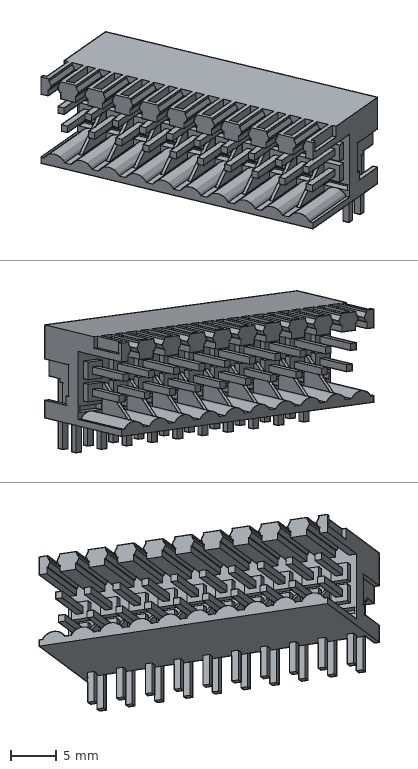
import cadquery as cq


positions = 10
pitch = 3.5
length = positions * pitch
depth = 14.2
height = 10.5
wall_front = 8.0
arm_bottom = 8.4
pin_xs = [(i - (positions - 1) / 2) * pitch for i in range(positions)]
boundary_xs = [(i - positions / 2) * pitch for i in range(positions + 1)]

overhang_bottom = 4.65
step_y = 12.15
step_z = 4.25
rear_wall = 11.65

foot_top = 2.0

recess_depth = 0.6
recess_front = 9.8
recess_top = 6.65
recess_step_y = 10.2
recess_step_z = 3.05

hump_top = 1.5
groove_z = 0.75
hump_width = 2.7

slot_depth = 5.1
waist_z = 9.7
waist_half = 0.4
mouth_half = 0.7
mouth_z = 10.25
base_half = 0.8
base_z = 9.15

pocket_width = 1.0
pocket_front = 0.5
pocket_floor = 9.2

wall_slot_width = 3.0
wall_slot_floor = hump_top
wall_slot_top = 2.2
wall_slot_depth = 1.0

rib_width = 0.4
rib_top = 4.55
rib_toe = 2.75
rib_crest = 0.4

pin_size = 0.8
pin_drop = 3.5
collar_size = 2.0
collar_length = 0.85
lower_contact = (3.75, 2.2, 10.6)
upper_contact = (6.25, 1.45, 13.1)


def box(x0, x1, y0, y1, z0, z1):
    """Axis-aligned block between two corners."""
    return cq.Workplane("XY").box(x1 - x0, y1 - y0, z1 - z0, centered=False).translate((x0, y0, z0))


def centred_box(x, width, y0, y1, z0, z1):
    """Block of the given width centred on x."""
    return box(x - width / 2, x + width / 2, y0, y1, z0, z1)


def side_profile(points, x0, x1):
    """Prism with a (Y, Z) outline, running from x0 to x1."""
    return cq.Workplane("YZ").polyline(points).close().extrude(x1 - x0).translate((x0, 0, 0))


def front_profile(points, x, y1):
    """Prism with an (X, Z) outline centred on x, running from Y = 0 to y1."""
    return cq.Workplane("XZ").polyline(points).close().extrude(-y1).translate((x, 0, 0))


def make_housing():
    outline = [
        (0, 0),
        (rear_wall, 0),
        (rear_wall, step_z),
        (step_y, step_z),
        (step_y, overhang_bottom),
        (depth, overhang_bottom),
        (depth, height),
        (0, height),
        (0, arm_bottom),
        (wall_front, arm_bottom),
        (wall_front, groove_z),
        (0, groove_z),
    ]
    return side_profile(outline, -length / 2, length / 2)


def make_end_recess(x0):
    outline = [
        (recess_step_y, foot_top),
        (depth, foot_top),
        (depth, recess_top),
        (recess_front, recess_top),
        (recess_front, recess_step_z),
        (recess_step_y, recess_step_z),
    ]
    return side_profile(outline, x0, x0 + recess_depth)


def make_foot(x0):
    return box(x0, x0 + recess_depth, rear_wall, depth, 0, foot_top)


def make_hump(x):
    half = hump_width / 2
    return (
        cq.Workplane("XZ")
        .moveTo(-half, groove_z)
        .threePointArc((0, hump_top), (half, groove_z))
        .close()
        .extrude(-wall_front)
        .translate((x, 0, 0))
    )


def make_arm_slot(x):
    """Hourglass slot: the lower half reaches the wall, the upper half stops short."""
    lower = [
        (-base_half, arm_bottom),
        (base_half, arm_bottom),
        (base_half, base_z),
        (mouth_half, base_z),
        (waist_half, waist_z),
        (-waist_half, waist_z),
        (-mouth_half, base_z),
        (-base_half, base_z),
    ]
    upper = [
        (-waist_half, waist_z),
        (waist_half, waist_z),
        (mouth_half, mouth_z),
        (mouth_half, height),
        (-mouth_half, height),
        (-mouth_half, mouth_z),
    ]
    return front_profile(lower, x, wall_front).union(front_profile(upper, x, slot_depth))


def make_arm_pocket(x):
    return centred_box(x, pocket_width, pocket_front, slot_depth, pocket_floor, height)


def make_wall_slot(x):
    slot_end = wall_front + wall_slot_depth
    return centred_box(x, wall_slot_width, wall_front, slot_end, wall_slot_floor, wall_slot_top)


def make_rib(x):
    outline = [
        (rib_toe, groove_z),
        (wall_front, groove_z),
        (wall_front, rib_top),
        (wall_front - rib_crest, rib_top),
    ]
    return side_profile(outline, x - rib_width / 2, x + rib_width / 2)


def make_contact(x, contact):
    """Right-angle pin with a square collar against the wall."""
    pin_z, tip_y, tail_y = contact
    half = pin_size / 2
    mating = centred_box(x, pin_size, tip_y, tail_y + half, pin_z - half, pin_z + half)
    tail = centred_box(x, pin_size, tail_y - half, tail_y + half, -pin_drop, pin_z + half)
    collar = centred_box(
        x,
        collar_size,
        wall_front - collar_length,
        wall_front,
        pin_z - collar_size / 2,
        pin_z + collar_size / 2,
    )
    return mating.union(tail).union(collar)


result = make_housing()
for end_x in (-length / 2, length / 2 - recess_depth):
    result = result.cut(make_end_recess(end_x)).union(make_foot(end_x))
for pin_x in pin_xs:
    result = result.cut(make_arm_slot(pin_x)).cut(make_wall_slot(pin_x))
for boundary_x in boundary_xs:
    result = result.cut(make_arm_pocket(boundary_x))
for pin_x in pin_xs:
    result = result.union(make_hump(pin_x))
for boundary_x in boundary_xs[1:-1]:
    result = result.union(make_rib(boundary_x))
for pin_x in pin_xs:
    for contact_row in (lower_contact, upper_contact):
        result = result.union(make_contact(pin_x, contact_row))